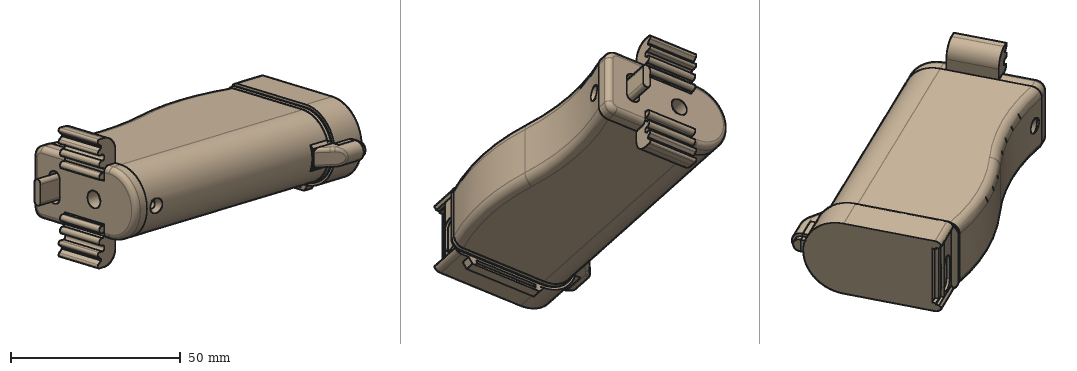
import cadquery as cq
import math


handle_radius = 11.2
handle_top = 75.7
wave_end_left = -31.8
wave_neck_left = -29.4
wave_bulge_left = -34.5
wave_top_left = -32.1
wave_middle_left = -32.0
wave_bulge_y = 57.6
wave_middle_y = 38.6
edge_round = 3.2

flange_step = 0.4
flange_radius = handle_radius + flange_step
flange_length = 1.3
flange_taper_length = 0.9
flange_taper_step = 0.3
flange_top = handle_top + flange_length

screw_y = 3.9
screw_diameter = 2.4
screw_head_diameter = 5.0
screw_sink_depth = 1.8
screw_depth = 5.0

head_radius = 12.5
head_top = 88.1
head_left = -30.9
head_edge_round = 2.4

recess_height = 20.2
recess_inner_height = 19.2
recess_mouth_height = 22.8
recess_steps = [
    (flange_top, 1.0, recess_height),
    (83.5, 2.0, recess_height),
    (85.5, 3.2, recess_inner_height),
]
window_width = 5.0
window_height = 11.9
window_y = 80.9
window_z = -3.3
window_depth = 1.0

loop_center_x = -12.5
loop_outer_width = 24.0
loop_slope_run = 1.4
loop_bottom = -14.4
loop_length = 3.1
loop_window_width = 21.0
loop_bar = 0.8

latch_half_height = 3.1
latch_right = 17.5
latch_top = 83.9
latch_bend = flange_top
latch_bottom = 68.7
latch_edge_round = 1.2
latch_tip_step = 1.0
latch_tip_length = 1.8
latch_foot_half_height = 4.1
latch_foot_inner = 10.4
latch_foot_outer = 11.5

lug_right = 14.0

cap_length = 4.7
cap_edge_round = 1.8
bore_x = -6.3
bore_diameter = 5.4

jaw_width = 16.4
jaw_center_x = -10.2
jaw_height = 20.0
jaw_back_radius = 4.9
tooth_tip = 7.4
inner_tooth_tip = 6.8
tooth_half_height = 1.1
tooth_base_flare = 0.4
inner_tooth_height = 8.2
middle_tooth_height = 12.0

blade_x = -22.8
blade_thickness = 2.5
blade_height = 8.2
blade_reach = 7.1
slot_width = 4.5
slot_height = 10.1


def side_section(left, radius, corner, y_start, y_end):
    """Bar along Y: flat on -X with rounded corners, half-round about the Y axis on +X."""
    bar = (
        cq.Workplane("XZ", origin=(0, y_start, 0))
        .moveTo(left, -radius)
        .lineTo(0, -radius)
        .threePointArc((radius, 0), (0, radius))
        .lineTo(left, radius)
        .close()
        .extrude(y_start - y_end)
    )
    return bar.edges("|Y and <X").fillet(corner)


def stadium_bar(x, z, width, height, y_start, y_end):
    """Bar along Y whose section is a stadium standing along Z."""
    return (
        cq.Workplane("XZ", origin=(x, y_start, z))
        .slot2D(height, width, 90)
        .extrude(y_start - y_end)
    )


def make_handle():
    outline = (
        cq.Workplane("XY", origin=(0, 0, -handle_radius))
        .moveTo(wave_top_left, handle_top)
        .threePointArc((wave_bulge_left, wave_bulge_y), (wave_middle_left, wave_middle_y))
        .tangentArcPoint((wave_end_left, 0), relative=False)
        .lineTo(handle_radius, 0)
        .lineTo(handle_radius, handle_top)
        .close()
        .extrude(2 * handle_radius)
    )
    rounded_side = (
        cq.Workplane("XZ")
        .moveTo(2 * wave_bulge_left, -handle_radius)
        .lineTo(0, -handle_radius)
        .threePointArc((handle_radius, 0), (0, handle_radius))
        .lineTo(2 * wave_bulge_left, handle_radius)
        .close()
        .extrude(-handle_top)
    )
    body = outline.intersect(rounded_side)
    wave_edges = cq.selectors.BoxSelector(
        (wave_bulge_left - 1, -1, -handle_radius - 1),
        (wave_neck_left + 1, handle_top + 1, handle_radius + 1),
    )
    body = body.edges(wave_edges).edges("not #Y").edges("not |Z").fillet(edge_round)
    flange = side_section(wave_top_left, flange_radius, edge_round, handle_top, flange_top)
    flange = flange.faces("<Y").edges().chamfer(flange_taper_length, flange_taper_step)
    body = body.union(flange)
    for wall_x, inward in ((wave_end_left + 1, 1), (handle_radius, -1)):
        body = body.cut(screw_hole(wall_x, inward))
    return body


def screw_hole(wall_x, inward):
    """Countersunk blind hole along X, starting outside the wall and running inward."""
    head_radius_at_wall = screw_head_diameter / 2
    shank_radius = screw_diameter / 2
    return (
        cq.Workplane("XY", origin=(wall_x, screw_y, 0))
        .moveTo(-inward * 2, 0)
        .lineTo(-inward * 2, head_radius_at_wall)
        .lineTo(0, head_radius_at_wall)
        .lineTo(inward * screw_sink_depth, shank_radius)
        .lineTo(inward * screw_depth, shank_radius)
        .lineTo(inward * screw_depth, 0)
        .close()
        .revolve(360, (0, 0, 0), (1, 0, 0))
    )


def make_strap_loop():
    half_width = loop_outer_width / 2
    loop_top = -head_radius
    outer = (
        cq.Workplane("XZ", origin=(loop_center_x, flange_top, 0))
        .moveTo(-half_width - loop_slope_run, loop_top)
        .lineTo(-half_width, loop_bottom)
        .lineTo(half_width, loop_bottom)
        .lineTo(half_width + loop_slope_run, loop_top)
        .close()
        .extrude(-loop_length)
    )
    window_bottom = loop_bottom + loop_bar
    window = (
        cq.Workplane("XZ", origin=(loop_center_x, flange_top, (loop_top + window_bottom) / 2))
        .rect(loop_window_width, loop_top - window_bottom)
        .extrude(-loop_length)
    )
    return outer.cut(window)


def lug_block(y_start, y_end, half_height):
    """Block along Y from the head axis out to the lug face."""
    block = cq.Workplane("XY").box(lug_right, y_end - y_start, 2 * half_height, centered=(False, False, True))
    return block.translate((0, y_start, 0))


def make_head():
    head = side_section(head_left, head_radius, head_edge_round, flange_top, head_top)
    for y_start, depth, height in recess_steps:
        step = cq.Workplane("XY").box(depth, head_top - y_start, height, centered=(False, False, True))
        head = head.cut(step.translate((head_left, y_start, 0)))
    shelf_depth = recess_steps[0][1]
    mouth = (
        cq.Workplane("XZ", origin=(head_left, flange_top, 0))
        .moveTo(0, -recess_mouth_height / 2)
        .lineTo(shelf_depth, -recess_height / 2)
        .lineTo(shelf_depth, recess_height / 2)
        .lineTo(0, recess_mouth_height / 2)
        .close()
        .extrude(flange_top - head_top)
    )
    window = (
        cq.Workplane("YZ", origin=(head_left, window_y, window_z))
        .slot2D(window_height, window_width, 90)
        .extrude(shelf_depth + window_depth)
    )
    tip_half_height = latch_half_height - latch_tip_step
    lug = lug_block(flange_top, latch_top, latch_half_height)
    lug = lug.union(lug_block(latch_top, latch_top + latch_tip_length, tip_half_height))
    return head.cut(mouth).cut(window).union(lug).union(make_strap_loop())


def make_latch(neighbours):
    bar_center = latch_right - latch_half_height
    bar = (
        cq.Workplane("XZ", origin=(0, latch_bottom, 0))
        .moveTo(0, -latch_half_height)
        .lineTo(bar_center, -latch_half_height)
        .threePointArc((latch_right, 0), (bar_center, latch_half_height))
        .lineTo(0, latch_half_height)
        .close()
        .extrude(latch_bottom - latch_top)
    )
    slope = (
        cq.Workplane("XY", origin=(0, 0, -latch_half_height))
        .moveTo(handle_radius, latch_bottom)
        .lineTo(latch_right, latch_bend)
        .lineTo(latch_right, latch_bottom)
        .close()
        .extrude(2 * latch_half_height)
    )
    tip_half_height = latch_half_height - latch_tip_step
    tip = (
        cq.Workplane("XZ", origin=(0, latch_top, 0))
        .moveTo(0, -tip_half_height)
        .lineTo(bar_center, -tip_half_height)
        .threePointArc((latch_right - latch_tip_step, 0), (bar_center, tip_half_height))
        .lineTo(0, tip_half_height)
        .close()
        .extrude(-latch_tip_length)
    )
    slope_edges = cq.selectors.BoxSelector(
        (handle_radius, latch_bottom - 1, -latch_half_height - 1),
        (latch_right + 1, latch_bend - 0.1, latch_half_height + 1),
    )
    latch = bar.cut(slope).edges(slope_edges).fillet(latch_edge_round)
    foot = (
        cq.Workplane("XZ", origin=(0, latch_bottom, 0))
        .moveTo(0, -latch_foot_half_height)
        .lineTo(latch_foot_inner, -latch_foot_half_height)
        .lineTo(latch_foot_outer, -latch_half_height)
        .lineTo(latch_foot_outer, latch_half_height)
        .lineTo(latch_foot_inner, latch_foot_half_height)
        .lineTo(0, latch_foot_half_height)
        .close()
        .extrude(latch_bottom - flange_top)
    )
    latch = latch.union(foot.cut(slope)).union(tip)
    for neighbour in neighbours:
        latch = latch.cut(neighbour)
    return latch


def make_jaw(side):
    """Toothed jaw standing out on the +Z (side = 1) or -Z (side = -1) face of the cap."""
    back_center = jaw_height - jaw_back_radius
    diagonal = jaw_back_radius * math.sqrt(0.5)
    inner_low = inner_tooth_height - tooth_half_height
    inner_high = inner_tooth_height + tooth_half_height
    middle_low = middle_tooth_height - tooth_half_height
    middle_high = middle_tooth_height + tooth_half_height
    jaw = (
        cq.Workplane("YZ", origin=(jaw_center_x - jaw_width / 2, 0, 0))
        .moveTo(0, inner_low - tooth_base_flare)
        .lineTo(0, back_center)
        .threePointArc((diagonal - jaw_back_radius, back_center + diagonal), (-jaw_back_radius, jaw_height))
        .lineTo(-6.8, jaw_height)
        .threePointArc((-tooth_tip, 19.4), (-7.1, 18.7))
        .lineTo(-6.0, 17.7)
        .lineTo(-6.0, 17.2)
        .lineTo(-7.0, 16.4)
        .threePointArc((-tooth_tip, 15.7), (-6.8, 15.0))
        .lineTo(-5.3, 15.0)
        .threePointArc((-4.6, 14.1), (-5.3, middle_high))
        .lineTo(tooth_half_height - inner_tooth_tip, middle_high)
        .threePointArc((-inner_tooth_tip, middle_tooth_height), (tooth_half_height - inner_tooth_tip, middle_low))
        .lineTo(-5.3, middle_low)
        .lineTo(-cap_length, 10.4)
        .lineTo(-cap_length, inner_high)
        .lineTo(tooth_half_height - inner_tooth_tip, inner_high)
        .threePointArc((-inner_tooth_tip, inner_tooth_height), (tooth_half_height - inner_tooth_tip, inner_low))
        .lineTo(-cap_length - tooth_base_flare, inner_low)
        .lineTo(-cap_length, inner_low - tooth_base_flare)
        .lineTo(0, inner_low - tooth_base_flare)
        .close()
        .extrude(jaw_width)
    )
    return jaw if side > 0 else jaw.mirror("XY")


def make_end_cap():
    cap = side_section(wave_end_left, handle_radius, edge_round, -cap_length, 0)
    cap = cap.faces("<Y").edges().fillet(cap_edge_round)
    for side in (1, -1):
        cap = cap.union(make_jaw(side))
    slot = stadium_bar(blade_x, 0, slot_width, slot_height, -cap_length, 0)
    bore = (
        cq.Workplane("XZ", origin=(bore_x, -cap_length, 0))
        .circle(bore_diameter / 2)
        .extrude(-cap_length)
    )
    return cap.cut(slot).cut(bore)


def make_blade():
    return stadium_bar(blade_x, 0, blade_thickness, blade_height, -cap_length - blade_reach, 0)


handle = make_handle()
head = make_head()
latch = make_latch([handle, head])
end_cap = make_end_cap()
blade = make_blade()

result = cq.Compound.makeCompound([
    handle.val(),
    head.val(),
    latch.val(),
    end_cap.val(),
    blade.val(),
])